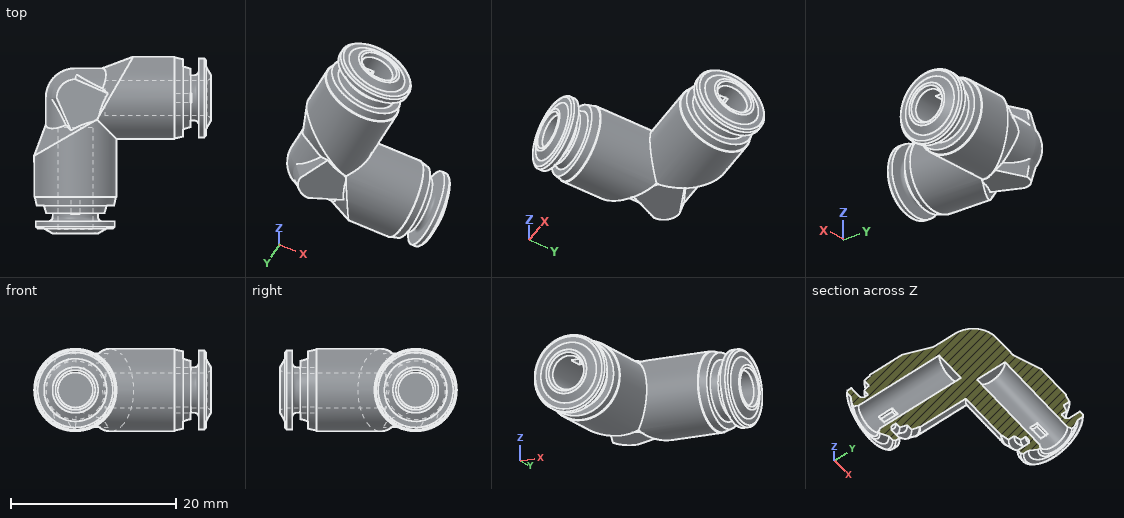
import cadquery as cq
import math


overall = 21.4
body_diameter = 10.0
body_radius = body_diameter / 2
reach = overall - body_radius

body_end = 11.95
collar_start = 12.0
collar_end = 13.03
nose_end = 13.95
neck_end = 14.4
flange_back = 14.92
flange_rim_end = 15.55
flange_front = 15.81

collar_start_radius = 4.92
collar_end_radius = 4.69
nose_start_radius = 3.8
nose_end_radius = 3.53
neck_radius = 2.75
neck_fillet = flange_back - neck_end
flange_radius = 4.8
flange_front_radius = 4.54
cone_radius = 3.79
mouth_face_radius = 2.75

bore_radius = 2.12
bore_mouth_radius = 2.4
bore_chamfer_depth = 0.51
bore_depth = 12.85

slot_width = 1.07
slot_end = 14.02

end_offset = 4.13
end_slant = 30.0
taper_angle = 50.5
taper_height = 2.57

corner_radius = 3.6
leg_length = 6.85

pad_height = 4.47
pad_radius = 2.25
pad_draft = 15.0
pad_side_angle = 23.6

slant = math.radians(end_slant)
pad_side = math.radians(pad_side_angle)


def to_other_socket(shape):
    """Swing a shape made for the -Y socket onto the +X socket."""
    return shape.rotate((0, 0, 0), (1, -1, 0), 180)


def socket_outside():
    """Turned outside of the -Y socket, from the corner axis to the mouth."""
    fillet_mid = neck_fillet * math.sqrt(0.5)
    profile = (
        cq.Workplane("XY")
        .moveTo(0, body_radius)
        .lineTo(body_radius, body_radius)
        .lineTo(body_radius, -body_end)
        .lineTo(collar_start_radius, -collar_start)
        .lineTo(collar_end_radius, -collar_end)
        .lineTo(nose_start_radius, -collar_end)
        .lineTo(nose_end_radius, -nose_end)
        .lineTo(neck_radius, -nose_end)
        .lineTo(neck_radius, -neck_end)
        .threePointArc(
            (neck_radius + neck_fillet - fillet_mid, -neck_end - fillet_mid),
            (neck_radius + neck_fillet, -flange_back),
        )
        .lineTo(flange_radius, -flange_back)
        .lineTo(flange_radius, -flange_rim_end)
        .lineTo(flange_front_radius, -flange_front)
        .lineTo(cone_radius, -flange_front)
        .lineTo(mouth_face_radius, -reach)
        .lineTo(0, -reach)
        .close()
    )
    return profile.revolve(360, (0, 0, 0), (0, 1, 0))


def slanted_plane():
    """Plane of the slanted inner end of the -Y body, facing the corner."""
    return cq.Plane(
        origin=(0, -end_offset, 0),
        xDir=(math.cos(slant), math.sin(slant), 0),
        normal=(-math.sin(slant), math.cos(slant), 0),
    )


def socket():
    """The -Y socket: turned body cut on the slant, then tapered towards the corner."""
    beyond_slant = cq.Workplane(slanted_plane()).rect(2 * overall, 2 * overall).extrude(overall)
    taper = (
        cq.Workplane(slanted_plane())
        .ellipse(body_radius / math.cos(slant), body_radius)
        .extrude(taper_height, taper=taper_angle)
    )
    return socket_outside().cut(beyond_slant).union(taper)


def corner_leg():
    """Round leg from the corner into the -Y body."""
    return cq.Workplane("XZ").circle(corner_radius).extrude(leg_length)


def bore():
    """Blind tube bore of the -Y socket, with a chamfered mouth."""
    profile = (
        cq.Workplane("XY")
        .moveTo(0, -reach)
        .lineTo(bore_mouth_radius, -reach)
        .lineTo(bore_radius, -reach + bore_chamfer_depth)
        .lineTo(bore_radius, -reach + bore_depth)
        .lineTo(0, -reach + bore_depth)
        .close()
    )
    return profile.revolve(360, (0, 0, 0), (0, 1, 0))


def sleeve_slot():
    """Slot of the -Y socket, running under the nose as deep as the neck."""
    return (
        cq.Workplane("XZ", origin=(0, -body_end, 0))
        .rect(slot_width, 2 * neck_radius)
        .extrude(slot_end - body_end)
    )


def pad():
    """Upper pad: rounded outer end, straight sides, ending on both slanted planes."""
    side_run = (end_offset + pad_radius * math.tan(slant)) / (1 + math.tan(slant) * math.tan(pad_side))
    side_end = pad_radius - side_run * math.tan(pad_side)
    inner = end_offset / (1 + math.tan(slant))
    diagonal = pad_radius * math.sqrt(0.5)
    return (
        cq.Workplane("XY", origin=(0, 0, pad_height))
        .moveTo(-pad_radius, 0)
        .threePointArc((-diagonal, diagonal), (0, pad_radius))
        .lineTo(side_run, side_end)
        .lineTo(inner, -inner)
        .lineTo(-side_end, -side_run)
        .close()
        .extrude(-pad_height, taper=-pad_draft)
    )


result = cq.Workplane("XY").sphere(corner_radius)
for part in (corner_leg(), socket()):
    result = result.union(part).union(to_other_socket(part))
result = result.union(pad()).union(pad().mirror("XY"))
for hollow in (bore(), sleeve_slot()):
    result = result.cut(hollow).cut(to_other_socket(hollow))